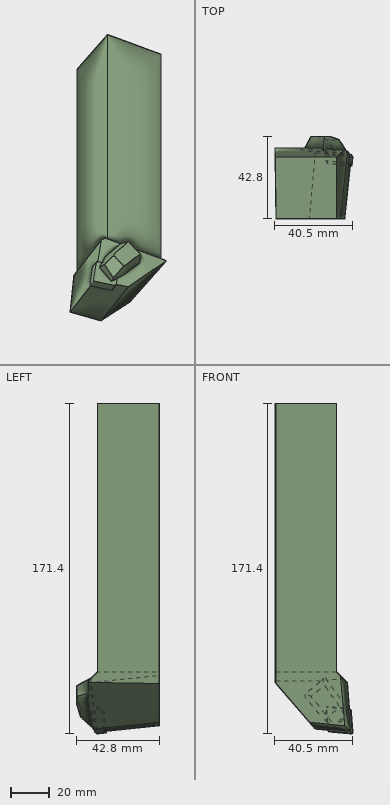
import cadquery as cq
import math

LENGTH = 171.4
SHANK_WIDTH = 32.0
HEAD_DEPTH = 36.8
SIDE_LEAN = 0.5
HEAD_TOP = 32.2
BACK_CHAMFER_TOP = 26.7
BACK_CHAMFER_ANGLE = 49.2

NOSE_REACH = 40.5
RAKE_TIP_Y = 32.0
INSERT_TILT = 6.0
EDGE_ANGLE = 5.0
INSERT_EDGE = 12.9
INSERT_THICKNESS = 4.8
NOSE_RADIUS = 0.9
INSERT_OVERHANG = 0.9

HALF_NOSE_ANGLE = math.radians(45 - EDGE_ANGLE)
NOSE_GAP = NOSE_RADIUS * (math.cos(math.pi / 4) / math.sin(HALF_NOSE_ANGLE) - 1)

CLAMP_TOP = 42.8
CLAMP_BASE = 33.2
CLAMP_TAPER = 20.0
CLAMP_CORNER_RADIUS = 1.7
CLAMP_BACK_LEFT = (12.9, 20.4)
CLAMP_BACK_RIGHT = (26.2, 30.8)
CLAMP_BEND_RIGHT = (35.3, 17.1)
CLAMP_FRONT_RIGHT = (37.7, 9.5)
CLAMP_FRONT_LEFT = (30.5, 2.7)
CLAMP_BEND_LEFT = (23.1, 9.0)
CLAMP_CREST = [(2.2, 38.9), (4.3, CLAMP_TOP), (9.5, CLAMP_TOP), (18.0, 41.0), (26.2, CLAMP_BASE)]

CUT_SIZE = 102.8

slope = math.tan(math.radians(INSERT_TILT))
rake_plane = cq.Plane(
    origin=(NOSE_REACH + NOSE_GAP, RAKE_TIP_Y, -NOSE_GAP),
    xDir=(1, -slope, 0), normal=(slope, 1, -slope),
)


def nose_rhombus(edge, inset, thickness):
    """Rhombic prism below the rake face, with its nose moved in by inset from both edges."""
    angle = math.radians(EDGE_ANGLE)
    along_end = (-math.cos(angle), -math.sin(angle))
    along_side = (-math.sin(angle), -math.cos(angle))
    shift = inset / math.sin(2 * HALF_NOSE_ANGLE)

    def corner(end, side):
        return tuple(e * end + s * side for e, s in zip(along_end, along_side))

    near, far = shift, shift + edge
    outline = [corner(near, near), corner(far, near), corner(far, far), corner(near, far)]
    return cq.Workplane(rake_plane).polyline(outline).close().extrude(-thickness)


def make_insert():
    rhombus = nose_rhombus(INSERT_EDGE, 0, INSERT_THICKNESS)
    return rhombus.edges(cq.selectors.ParallelDirSelector(rake_plane.zDir)).fillet(NOSE_RADIUS)


def make_shank_and_head():
    shank = cq.Workplane("XY").box(SHANK_WIDTH, SHANK_WIDTH, LENGTH - HEAD_TOP, centered=False)
    shank = shank.translate((0, 0, HEAD_TOP))

    widening = HEAD_DEPTH - SHANK_WIDTH
    side_room = 2 * widening
    head = (
        cq.Workplane("XZ")
        .polyline([
            (0, -side_room), (0, HEAD_TOP), (SHANK_WIDTH, HEAD_TOP),
            (SHANK_WIDTH + side_room, HEAD_TOP - side_room), (SHANK_WIDTH + side_room, -side_room),
        ])
        .close().extrude(-HEAD_DEPTH)
    )
    depth_profile = (
        cq.Workplane("YZ")
        .polyline([
            (0, -side_room), (0, HEAD_TOP), (SHANK_WIDTH, HEAD_TOP),
            (HEAD_DEPTH, HEAD_TOP - widening), (HEAD_DEPTH, -side_room),
        ])
        .close().extrude(CUT_SIZE)
    )
    head = head.intersect(depth_profile)
    head = head.intersect(nose_rhombus(CUT_SIZE, INSERT_OVERHANG, CUT_SIZE))
    body = shank.union(head)

    chamfer_run = BACK_CHAMFER_TOP / math.tan(math.radians(BACK_CHAMFER_ANGLE))
    back_cut = (
        cq.Workplane("XZ")
        .polyline([(0, BACK_CHAMFER_TOP), (2 * chamfer_run, -BACK_CHAMFER_TOP), (0, -BACK_CHAMFER_TOP)])
        .close().extrude(-CUT_SIZE)
    )
    lean_cut = (
        cq.Workplane("XY").polyline([(0, 0), (SIDE_LEAN, 0), (0, HEAD_DEPTH)]).close().extrude(LENGTH)
    )
    return body.cut(back_cut).cut(lean_cut)


def make_clamp():
    base_plane = cq.Plane(origin=(0, CLAMP_BASE, 0), xDir=(1, 0, 0), normal=(0, 1, 0))
    corners = [
        CLAMP_BACK_LEFT, CLAMP_BACK_RIGHT, CLAMP_BEND_RIGHT,
        CLAMP_FRONT_RIGHT, CLAMP_FRONT_LEFT, CLAMP_BEND_LEFT,
    ]
    clamp = (
        cq.Workplane(base_plane).polyline([(x, -z) for x, z in corners]).close()
        .extrude(CLAMP_TOP - CLAMP_BASE, taper=CLAMP_TAPER)
    )
    for back_corner in ("<X", ">Z"):
        clamp = clamp.edges("not #Y").edges(back_corner).fillet(CLAMP_CORNER_RADIUS)

    back_x = CLAMP_BACK_RIGHT[0] - CLAMP_BACK_LEFT[0]
    back_z = CLAMP_BACK_RIGHT[1] - CLAMP_BACK_LEFT[1]
    crest_plane = cq.Plane(
        origin=(CLAMP_BACK_LEFT[0], 0, CLAMP_BACK_LEFT[1]),
        xDir=(back_z, 0, -back_x), normal=(back_x, 0, back_z),
    )
    crest = (
        cq.Workplane(crest_plane).polyline([(0, CLAMP_BASE), *CLAMP_CREST]).close()
        .extrude(CUT_SIZE / 2, both=True)
    )
    return clamp.intersect(crest)


insert = make_insert()
holder = make_shank_and_head().union(make_clamp()).cut(insert).solids()

result = cq.Compound.makeCompound([holder.val(), insert.val()])